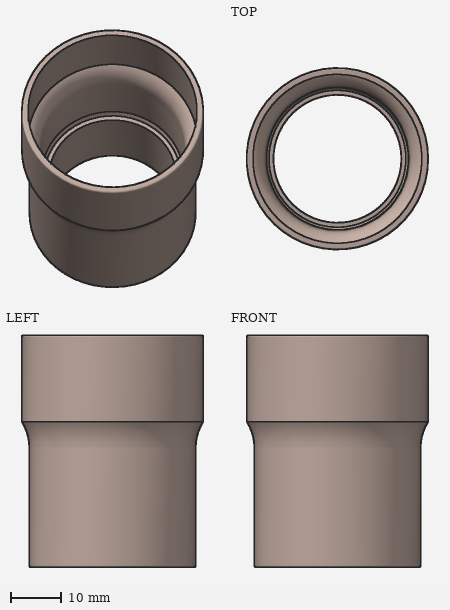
import cadquery as cq
import math

height = 46.0
socket_outer_radius = 18.01
spigot_outer_radius = 16.5
spigot_top = 23.75
outer_flare_height = 5.15
rim_rounding = 0.35

socket_radius = 16.75
socket_depth = 13.1
entry_radius = 14.35
entry_height = 3.9

taper_end_radius = 14.08
ledge_outer_radius = 13.55
outlet_radius = 12.65
ledge_z = 16.1
shoulder_height = 0.9

socket_floor = height - socket_depth
entry_bottom = socket_floor - entry_height
flare_top = spigot_top + outer_flare_height


def flare_midpoint(small_radius, bottom_z, large_radius, top_z):
    """Midpoint of a flare arc that leaves its lower cylinder tangentially."""
    rise = top_z - bottom_z
    spread = large_radius - small_radius
    arc_radius = (rise**2 + spread**2) / (2 * spread)
    half_angle = math.atan2(spread, rise)
    return (
        small_radius + arc_radius * (1 - math.cos(half_angle)),
        bottom_z + arc_radius * math.sin(half_angle),
    )


outer_flare_mid = flare_midpoint(spigot_outer_radius, spigot_top, socket_outer_radius, flare_top)
entry_mid = flare_midpoint(entry_radius, entry_bottom, socket_radius, socket_floor)

section = (
    cq.Workplane("XZ")
    .moveTo(outlet_radius, 0)
    .lineTo(spigot_outer_radius - rim_rounding, 0)
    .radiusArc((spigot_outer_radius, rim_rounding), -rim_rounding)
    .lineTo(spigot_outer_radius, spigot_top)
    .threePointArc(outer_flare_mid, (socket_outer_radius, flare_top))
    .lineTo(socket_outer_radius, height - rim_rounding)
    .radiusArc((socket_outer_radius - rim_rounding, height), -rim_rounding)
    .lineTo(socket_radius, height)
    .lineTo(socket_radius, socket_floor)
    .threePointArc(entry_mid, (entry_radius, entry_bottom))
    .lineTo(taper_end_radius, ledge_z + shoulder_height)
    .lineTo(ledge_outer_radius, ledge_z)
    .lineTo(outlet_radius, ledge_z)
    .close()
)

result = section.revolve(360, (0, 0, 0), (0, 1, 0))